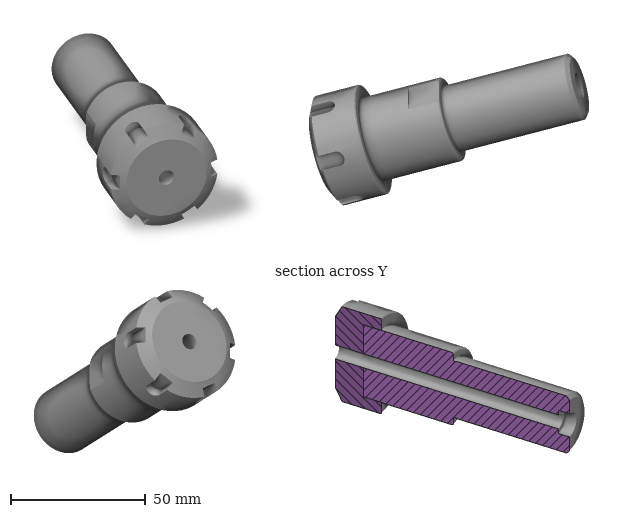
import cadquery as cq

total_length = 101.0
relief_start = 49.1
shoulder_x = 50.0
flat_end = 61.9
nut_start = 81.0
holder_end = 88.9

shank_diameter = 25.4
shank_chamfer_length = 1.4
shank_chamfer_height = 1.7
relief_diameter = 24.9
relief_fillet = 0.3
body_diameter = 32.0
body_fillet = 1.0
across_flats = 29.8
bore_diameter = 6.0
counterbore_diameter = 10.0
counterbore_depth = 4.7

nut_diameter = 42.0
nut_back_chamfer = 0.4
nose_start = 98.1
face_diameter = 31.3
rim_bevel_length = 0.3
rim_diameter = 32.3
slot_count = 6
slot_width = 6.0
slot_start = 88.9
slot_floor_radius = 17.8


def x_cylinder(diameter, start, end):
    """Cylinder on the X axis between two X positions."""
    return cq.Workplane("YZ", origin=(start, 0, 0)).circle(diameter / 2).extrude(end - start)


def make_shank():
    shank_radius = shank_diameter / 2
    relief_radius = relief_diameter / 2
    profile = (
        cq.Workplane("XY")
        .lineTo(0, shank_radius - shank_chamfer_height)
        .lineTo(shank_chamfer_length, shank_radius)
        .lineTo(relief_start, shank_radius)
        .lineTo(relief_start, relief_radius)
        .lineTo(shoulder_x - relief_fillet, relief_radius)
        .radiusArc((shoulder_x, relief_radius + relief_fillet), -relief_fillet)
        .lineTo(shoulder_x, 0)
        .close()
    )
    return profile.revolve(360, (0, 0, 0), (1, 0, 0))


def make_body():
    """Thick part of the holder, with a rounded shoulder and two wrench flats."""
    body = x_cylinder(body_diameter, shoulder_x, holder_end).faces("<X").edges().fillet(body_fillet)
    flat_length = flat_end - shoulder_x
    flat_zone = cq.Workplane("XY").box(flat_length, body_diameter, body_diameter)
    kept_zone = cq.Workplane("XY").box(flat_length, across_flats, body_diameter)
    flat_cut = flat_zone.cut(kept_zone).translate((shoulder_x + flat_length / 2, 0, 0))
    return body.cut(flat_cut)


def make_holder():
    holder = make_shank().union(make_body())
    holder = holder.cut(x_cylinder(bore_diameter, 0, holder_end))
    return holder.cut(x_cylinder(counterbore_diameter, 0, counterbore_depth))


def make_nut_slot():
    """Cutter for the wrench slot on the -Y side, round at its back end and open at the front."""
    slot_radius = slot_width / 2
    arc_center_x = slot_start + slot_radius
    outer_radius = nut_diameter / 2
    return (
        cq.Workplane("XZ", origin=(0, -slot_floor_radius, 0))
        .moveTo(arc_center_x, slot_radius)
        .threePointArc((slot_start, 0), (arc_center_x, -slot_radius))
        .lineTo(total_length, -slot_radius)
        .lineTo(total_length, slot_radius)
        .close()
        .extrude(outer_radius - slot_floor_radius)
    )


def make_nut():
    nut_radius = nut_diameter / 2
    nut = (
        cq.Workplane("XY")
        .moveTo(nut_start, 0)
        .lineTo(nut_start, nut_radius - nut_back_chamfer)
        .lineTo(nut_start + nut_back_chamfer, nut_radius)
        .lineTo(nose_start, nut_radius)
        .lineTo(total_length - rim_bevel_length, rim_diameter / 2)
        .lineTo(total_length, face_diameter / 2)
        .lineTo(total_length, 0)
        .close()
        .revolve(360, (0, 0, 0), (1, 0, 0))
    )
    nut = nut.cut(x_cylinder(body_diameter, nut_start, holder_end))
    nut = nut.cut(x_cylinder(bore_diameter, holder_end, total_length))
    slot = make_nut_slot()
    for index in range(slot_count):
        nut = nut.cut(slot.rotate((0, 0, 0), (1, 0, 0), index * 360 / slot_count))
    return nut


holder = make_holder()
nut = make_nut()
result = cq.Compound.makeCompound([holder.val(), nut.val()])